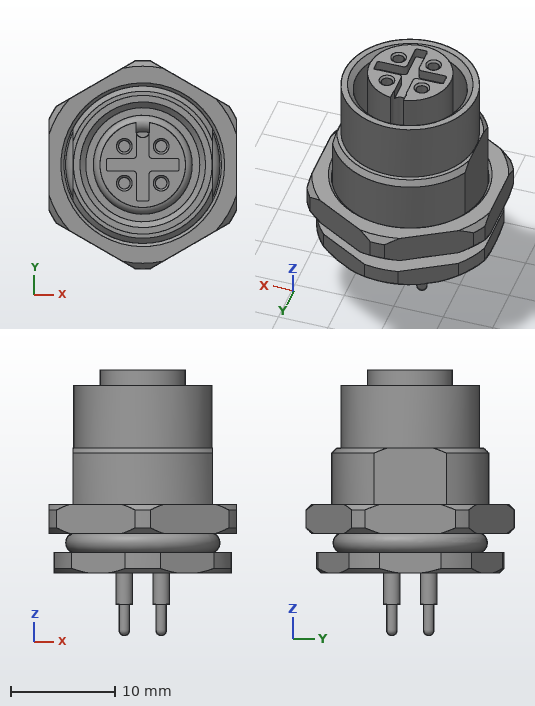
import cadquery as cq
import math


flange_thickness = 2.0
flange_across_flats = 17.0
flange_radius = 9.0
flange_chamfer = 0.45

nut_bottom = 3.8
nut_thickness = 2.8
nut_top = nut_bottom + nut_thickness
nut_across_flats = 18.0
nut_radius = 10.0
nut_chamfer = 0.55
nut_bore_chamfer = 0.3

barrel_radius = 7.55
barrel_top = 12.0
barrel_chamfer = 0.5
barrel_across_flats = 13.4

seal_tube_radius = 1.0
seal_ring_radius = 6.4
seal_height = (flange_thickness + nut_bottom) / 2

sleeve_radius = 6.65
sleeve_top = 18.0
sleeve_bore_radius = 5.47
sleeve_bore_chamfer = 0.55
sleeve_floor = 10.0

insert_radius = 4.1
insert_top = 19.5
insert_seal_tube_radius = 0.8
insert_seal_ring_radius = 3.95
key_radius = 0.65
key_center_y = 3.25

cross_length = 7.0
cross_width = 1.2
cross_depth = 1.0
cross_end_fillet = 0.2
cross_inner_fillet = 0.35

contact_count = 4
contact_pitch_radius = 2.5
contact_start_angle = 45.0
socket_radius = 0.55
socket_chamfer = 0.2
socket_depth = 6.0
pin_shank_radius = 0.8
pin_shank_length = 3.0
pin_tip_radius = 0.5
pin_length = 6.0


def cylinder(radius, bottom, top):
    return cq.Workplane("XY").workplane(offset=bottom).circle(radius).extrude(top - bottom)


def torus(ring_radius, tube_radius, height):
    return cq.Workplane(cq.Solid.makeTorus(ring_radius, tube_radius, cq.Vector(0, 0, height)))


def hexagon(across_flats, bottom, top):
    """Hexagonal prism with two of its flats facing +X and -X."""
    across_corners = across_flats / math.cos(math.pi / 6)
    prism = cq.Workplane("XY").polygon(6, across_corners).extrude(top - bottom)
    return prism.rotate((0, 0, 0), (0, 0, 1), 30).translate((0, 0, bottom))


def chamfered_bore(radius, chamfer, bottom, top):
    """Cutter for a blind round hole on the Z axis with a 45 degree chamfer at its mouth."""
    profile = (
        cq.Workplane("XZ")
        .moveTo(0, bottom)
        .lineTo(radius, bottom)
        .lineTo(radius, top - chamfer)
        .lineTo(radius + chamfer, top)
        .lineTo(0, top)
        .close()
    )
    return profile.revolve(360, (0, 0, 0), (0, 1, 0))


def contact_places():
    """XY place of each contact on the pitch circle."""
    for index in range(contact_count):
        angle = math.radians(contact_start_angle + index * 360 / contact_count)
        yield contact_pitch_radius * math.cos(angle), contact_pitch_radius * math.sin(angle)


def make_flange():
    turned = cylinder(flange_radius, 0, flange_thickness).faces("<Z").chamfer(flange_chamfer)
    return turned.intersect(hexagon(flange_across_flats, 0, flange_thickness))


def make_barrel():
    """Neck inside the seal ring, then the wider barrel with its flats."""
    neck = cylinder(seal_ring_radius, flange_thickness, nut_bottom)
    barrel = cylinder(barrel_radius, nut_bottom, barrel_top).faces(">Z").chamfer(barrel_chamfer)
    flats = cq.Workplane("XY").box(barrel_across_flats, 2 * barrel_radius, 2 * barrel_top)
    return neck.union(barrel.intersect(flats))


def make_key():
    """Keyway down the +Y side of the insert with a round inner end."""
    round_end = cylinder(key_radius, sleeve_floor, insert_top).translate((0, key_center_y, 0))
    height = insert_top - sleeve_floor
    channel = cq.Workplane("XY").box(2 * key_radius, insert_radius, height, centered=(True, False, False))
    return round_end.union(channel.translate((0, key_center_y, sleeve_floor)))


def make_cross():
    along_x = cq.Workplane("XY").box(cross_length, cross_width, cross_depth)
    along_x = along_x.edges("|Z").fillet(cross_end_fillet)
    along_y = along_x.rotate((0, 0, 0), (0, 0, 1), 90)
    inner_corners = cq.selectors.BoxSelector(
        (-cross_width, -cross_width, -cross_depth),
        (cross_width, cross_width, cross_depth),
    )
    cross = along_x.union(along_y).edges("|Z").edges(inner_corners).fillet(cross_inner_fillet)
    return cross.translate((0, 0, insert_top - cross_depth / 2))


def make_socket():
    """Blind contact hole with a countersunk mouth, centred on the Z axis."""
    return chamfered_bore(socket_radius, socket_chamfer, insert_top - socket_depth, insert_top)


def make_insert():
    insert = cylinder(insert_radius, sleeve_floor, insert_top).cut(make_key()).cut(make_cross())
    for x, y in contact_places():
        insert = insert.cut(make_socket().translate((x, y, 0)))
    return insert


def make_pin():
    """Stepped solder pin with a ball end, centred on the Z axis."""
    shank = cylinder(pin_shank_radius, -pin_shank_length, 0)
    ball_height = -pin_length + pin_tip_radius
    tip = cylinder(pin_tip_radius, ball_height, -pin_shank_length)
    ball = cq.Workplane("XY").sphere(pin_tip_radius).translate((0, 0, ball_height))
    return shank.union(tip).union(ball)


def make_connector():
    connector = make_flange().union(make_barrel())
    connector = connector.union(torus(seal_ring_radius, seal_tube_radius, seal_height))
    connector = connector.union(cylinder(sleeve_radius, barrel_top, sleeve_top))
    connector = connector.cut(chamfered_bore(sleeve_bore_radius, sleeve_bore_chamfer, sleeve_floor, sleeve_top))
    connector = connector.union(make_insert())
    connector = connector.union(torus(insert_seal_ring_radius, insert_seal_tube_radius, sleeve_floor))
    for x, y in contact_places():
        connector = connector.union(make_pin().translate((x, y, 0)))
    return connector


def make_nut():
    """Hex nut chamfered at both ends, bored to fit the barrel."""
    turned = cylinder(nut_radius, nut_bottom, nut_top).faces("<Z or >Z").chamfer(nut_chamfer)
    nut = turned.intersect(hexagon(nut_across_flats, nut_bottom, nut_top))
    nut = nut.cut(cylinder(barrel_radius, nut_bottom, nut_top))
    return nut.edges("%CIRCLE").edges(cq.selectors.RadiusNthSelector(0)).chamfer(nut_bore_chamfer)


connector = make_connector()
lock_nut = make_nut()
result = cq.Compound.makeCompound([connector.solids().val(), lock_nut.solids().val()])